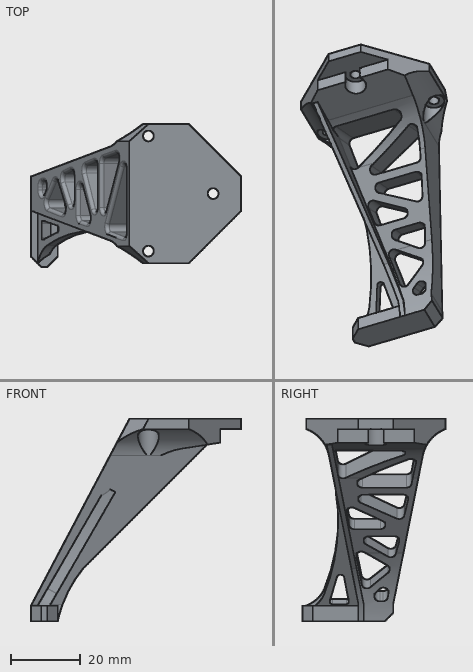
import cadquery as cq
import math

length = 60.1
height = 58.0

plate_half_width = 19.95
plate_thickness = 3.0
plate_front_x = 28.2
front_corner_length = 5.5
front_corner_width = 4.95
rear_corner = 15.0
bolt_diameter = 3.0
counterbore_diameter = 6.0
side_bolt_x = 33.6
side_bolt_y = 16.5
rear_bolt_x = 52.15
head_clearance_bottom = 45.1

foot_height = 4.5
foot_length = 7.7
foot_corner = 3.0
foot_underside_chamfer = 2.45
foot_outer_y = -21.05
leg_foot_half_width = 5.0
leg_kink_z = 4.95
flank_fillet_z = 47.5
flank_fillet_half_width = 13.45

ankle_x = 10.05
ankle_z = 10.3
rear_rise_angle = math.radians(55)
rear_rise_x = 14.9
rear_rise_z = 19.65
shelf_end_x = 54.2
shelf_end_z = 51.1
shelf_angle = math.radians(8.7)
rear_fillet_radius = 20.0

web_thickness = 1.5
web_bend_x = 15.05
web_top_z = 50.5
web_edge_offset = 0.2
web_arc_x = 9.15
web_arc_z = 5.0

gusset_angle = math.radians(60)
gusset_front_x = 1.9
gusset_thickness = 3.0
gusset_overlap = 0.9
gusset_top_y = -11.55
gusset_top_z = 38.5
gusset_waist_y = -10.8
gusset_waist_z = 27.95
gusset_ankle_y = -14.75
gusset_ankle_z = 9.45
gusset_toe_y = -20.0
gusset_opening = [(-9.9, 18.2), (-7.65, 6.45), (-13.4, 6.45)]
gusset_opening_top_radius = 1.0
gusset_opening_bottom_radius = 0.7

window_lip_radius = 0.95
window_corner_radius = 1.5
windows = [
    [(-13.9, 56.8), (-11.25, 43.25), (16.5, 56.8)],
    [(13.3, 54.7), (-13.4, 41.6), (10.8, 41.6)],
    [(10.75, 41.1), (8.4, 30.85), (-13.45, 41.1)],
    [(-10.1, 39.1), (-8.3, 28.85), (10.75, 28.85)],
    [(8.3, 28.4), (5.85, 18.9), (-10.1, 28.4)],
    [(-7.65, 26.15), (-4.2, 9.5), (6.5, 17.85)],
    [(4.0, 8.2), (-5.3, 8.2), (5.8, 17.15)],
]

plate_underside_z = height - plate_thickness
front_angle = math.atan2(height - foot_height, plate_front_x)
plate_front_half_width = plate_half_width - front_corner_width
flank_slope = (flank_fillet_half_width - leg_foot_half_width) / (flank_fillet_z - leg_kink_z)


def sloping_plane(foot_x, angle):
    """Plane rising from the top of the foot: local x is Y mirrored, local y climbs the slope."""
    normal = (-math.sin(angle), 0, math.cos(angle))
    return cq.Plane(origin=(foot_x, 0, foot_height), xDir=(0, -1, 0), normal=normal)


def on_slope(y, z, angle):
    """Local coordinates, on a plane sloping at the angle, of the point with the given Y and Z."""
    return (-y, (z - foot_height) / math.sin(angle))


def flank_half_width(z):
    """Half width of the tapering leg at a height above its kink."""
    return leg_foot_half_width + flank_slope * (z - leg_kink_z)


def flared_leg():
    """Tapering leg, flared by a fillet on each flank to the full width of the plate."""
    half = (
        cq.Workplane("YZ")
        .moveTo(0, 0)
        .lineTo(leg_foot_half_width, 0)
        .lineTo(leg_foot_half_width, leg_kink_z)
        .lineTo(flank_fillet_half_width, flank_fillet_z)
        .tangentArcPoint((plate_half_width, plate_underside_z), relative=False)
        .lineTo(plate_half_width, height)
        .lineTo(0, height)
        .close()
        .extrude(length)
    )
    return half.union(half.mirror("XZ"))


def leg_side_profile():
    """Sloping front, filleted rear and stepped plate end, as a prism along Y."""
    rise = (math.cos(rear_rise_angle), math.sin(rear_rise_angle))
    shelf = (math.cos(shelf_angle), math.sin(shelf_angle))
    gap_x = shelf_end_x - rear_rise_x
    gap_z = shelf_end_z - rear_rise_z
    reach = (gap_x * shelf[1] - gap_z * shelf[0]) / (rise[0] * shelf[1] - rise[1] * shelf[0])
    corner_x = rear_rise_x + reach * rise[0]
    corner_z = rear_rise_z + reach * rise[1]
    tangent = rear_fillet_radius * math.tan((rear_rise_angle - shelf_angle) / 2)
    return (
        cq.Workplane("XZ")
        .moveTo(0, 0)
        .lineTo(foot_length, 0)
        .threePointArc((ankle_x, ankle_z), (rear_rise_x, rear_rise_z))
        .lineTo(corner_x - tangent * rise[0], corner_z - tangent * rise[1])
        .tangentArcPoint((corner_x + tangent * shelf[0], corner_z + tangent * shelf[1]), relative=False)
        .lineTo(shelf_end_x, shelf_end_z)
        .lineTo(shelf_end_x, plate_underside_z)
        .lineTo(length, plate_underside_z)
        .lineTo(length, height)
        .lineTo(plate_front_x, height)
        .lineTo(0, foot_height)
        .close()
        .extrude(length / 2, both=True)
    )


def side_web():
    """Thin web flush with the -Y flank, reaching back to a 45 degree edge."""
    top_front_x = (web_top_z - foot_height) / math.tan(front_angle)
    foot_y = -leg_foot_half_width
    top_y = -flank_half_width(web_top_z)
    profile = (
        cq.Workplane("XZ")
        .moveTo(0, foot_height)
        .lineTo(0, 0)
        .lineTo(foot_length, 0)
        .threePointArc((web_arc_x, web_arc_z), (web_bend_x, web_bend_x + web_edge_offset))
        .lineTo(web_top_z - web_edge_offset, web_top_z)
        .lineTo(top_front_x, web_top_z)
        .close()
        .extrude(length / 2, both=True)
    )
    strip = (
        cq.Workplane("YZ")
        .polyline([
            (foot_y, 0),
            (foot_y, leg_kink_z),
            (top_y, web_top_z),
            (top_y + web_thickness, web_top_z),
            (foot_y + web_thickness, leg_kink_z),
            (foot_y + web_thickness, 0),
        ])
        .close()
        .extrude(length)
    )
    return profile.intersect(strip)


def window_cutter(corners):
    """Rounded triangle inside the lip, driven square to the front face."""
    return (
        cq.Workplane(sloping_plane(0, front_angle))
        .polyline([on_slope(y, z, front_angle) for y, z in corners])
        .close()
        .offset2D(-window_lip_radius - window_corner_radius)
        .offset2D(window_corner_radius)
        .extrude(-length)
    )


def open_windows(leg):
    """Cut every window and round the lips on the front face."""
    for corners in windows:
        leg = leg.cut(window_cutter(corners))
    forward = sloping_plane(0, front_angle).zDir
    front_face = leg.faces(cq.selectors.DirectionMinMaxSelector(forward, True)).val()
    lips = [edge for wire in front_face.innerWires() for edge in wire.Edges()]
    return leg.newObject(lips).fillet(window_lip_radius)


def trim_plate_corners(body):
    """Trim the rear corners upright and the front corners parallel to the front slope."""
    slope_run = height / math.tan(front_angle)
    for side in (1, -1):
        rear = (
            cq.Workplane("XY")
            .polyline([
                (length, side * (plate_half_width - rear_corner)),
                (length, side * plate_half_width),
                (length - rear_corner, side * plate_half_width),
            ])
            .close()
            .extrude(height)
        )
        corner = cq.Wire.makePolygon([
            cq.Vector(plate_front_x, side * plate_front_half_width, height),
            cq.Vector(plate_front_x, side * plate_half_width, height),
            cq.Vector(plate_front_x + front_corner_length, side * plate_half_width, height),
        ], close=True)
        front = cq.Solid.extrudeLinear(corner, [], cq.Vector(-slope_run, 0, -height))
        body = body.cut(rear).cut(cq.Workplane(front))
    return body


def drill_plate(body):
    """Bolt holes through the plate with head clearance below it."""
    places = [(side_bolt_x, side_bolt_y), (side_bolt_x, -side_bolt_y), (rear_bolt_x, 0)]
    holes = cq.Workplane("XY").pushPoints(places).circle(bolt_diameter / 2).extrude(height)
    heads = (
        cq.Workplane("XY")
        .workplane(offset=head_clearance_bottom)
        .pushPoints(places)
        .circle(counterbore_diameter / 2)
        .extrude(plate_underside_z - head_clearance_bottom)
    )
    return body.cut(holes).cut(heads)


def foot():
    """Flat toe reaching out to -Y, with trimmed outer corners."""
    width = leg_foot_half_width - foot_outer_y
    block = (
        cq.Workplane("XY")
        .box(foot_length, width, foot_height, centered=False)
        .translate((0, foot_outer_y, 0))
    )
    return block.edges("|Z and <Y").chamfer(foot_corner)


def chamfer_foot_underside(body):
    """Bevel the inner lower edge shared by the foot and the leg."""
    wedge = (
        cq.Workplane("YZ")
        .polyline([
            (leg_foot_half_width, 0),
            (leg_foot_half_width - foot_underside_chamfer, 0),
            (leg_foot_half_width, foot_underside_chamfer),
        ])
        .close()
        .extrude(length)
    )
    return body.cut(wedge)


def gusset():
    """Slanted plate with a concave outer edge and a triangular opening."""
    plane = sloping_plane(gusset_front_x, gusset_angle)

    def at(y, z):
        return on_slope(y, z, gusset_angle)

    plate = (
        cq.Workplane(plane)
        .moveTo(*at(gusset_overlap - leg_foot_half_width, foot_height))
        .lineTo(*at(gusset_overlap - flank_half_width(gusset_top_z), gusset_top_z))
        .lineTo(*at(gusset_top_y, gusset_top_z))
        .threePointArc(at(gusset_waist_y, gusset_waist_z), at(gusset_ankle_y, gusset_ankle_z))
        .tangentArcPoint(at(gusset_toe_y, foot_height), relative=False)
        .close()
        .extrude(-gusset_thickness)
    )
    opening = (
        cq.Workplane(plane)
        .polyline([at(y, z) for y, z in gusset_opening])
        .close()
        .extrude(-gusset_thickness)
    )
    across = cq.selectors.ParallelDirSelector(plane.zDir)
    opening = opening.edges(across).edges(">Z").fillet(gusset_opening_top_radius)
    opening = opening.edges(across).edges("<Z").fillet(gusset_opening_bottom_radius)
    return plate.cut(opening)


leg = open_windows(flared_leg().intersect(leg_side_profile()))
body = trim_plate_corners(leg.union(side_web()))
body = drill_plate(body).union(foot()).union(gusset())
result = chamfer_foot_underside(body)